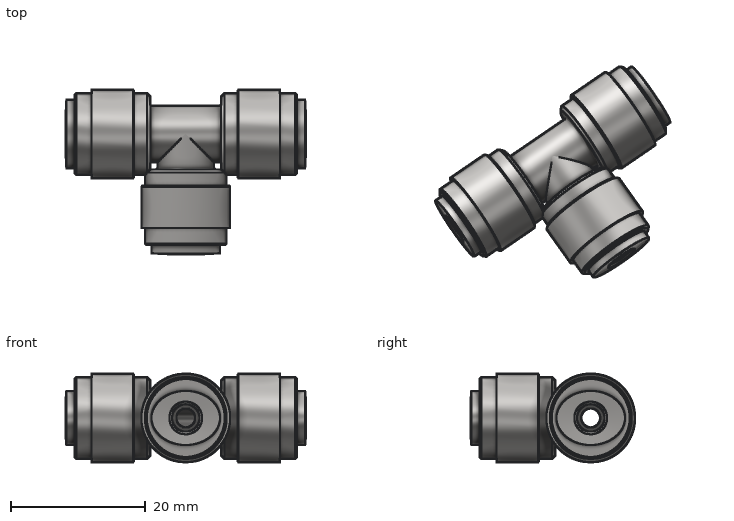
import cadquery as cq

port_reach = 17.9

collar_width = 10.2
collar_height = 8.05
collar_length = 1.35
collar_crown = 0.15

grip_diameter = 13.2
grip_radius = grip_diameter / 2
body_radius = 6.1
grip_start = 3.9
grip_end = 10.2
body_end = 12.65
front_chamfer = 0.3
rear_chamfer = 0.5
grip_chamfer = 0.18

neck_radius = 4.22
neck_fillet = 0.2

flow_radius = 1.4
tube_socket_radius = 2.05
tube_socket_depth = 7.88
mouth_chamfer = 0.4
mouth_radius = tube_socket_radius + mouth_chamfer


def port_body():
    """Neck and stepped body of one port, revolved about the Z axis."""
    collar_seat = port_reach - collar_length
    grip_outer = port_reach - grip_start
    grip_inner = port_reach - grip_end
    rear = port_reach - body_end
    profile = (
        cq.Workplane("XZ")
        .lineTo(neck_radius, 0)
        .lineTo(neck_radius, rear - neck_fillet)
        .radiusArc((neck_radius + neck_fillet, rear), neck_fillet)
        .lineTo(body_radius - rear_chamfer, rear)
        .lineTo(body_radius, rear + rear_chamfer)
        .lineTo(body_radius, grip_inner)
        .lineTo(grip_radius - grip_chamfer, grip_inner)
        .lineTo(grip_radius, grip_inner + grip_chamfer)
        .lineTo(grip_radius, grip_outer)
        .lineTo(body_radius, grip_outer)
        .lineTo(body_radius, collar_seat - front_chamfer)
        .lineTo(body_radius - front_chamfer, collar_seat)
        .lineTo(0, collar_seat)
        .close()
    )
    return profile.revolve(360, (0, 0, 0), (0, 1, 0))


def release_collar():
    """Oval collar with a gently crowned end face, wider along X, ending at the port mouth."""
    side_length = collar_length - collar_crown
    side = (
        cq.Workplane("XY", origin=(0, 0, port_reach - collar_length))
        .ellipse(collar_width / 2, collar_height / 2)
        .extrude(side_length)
    )
    crown = (
        cq.Workplane("XY", origin=(0, 0, port_reach - collar_crown))
        .ellipse(collar_width / 2, collar_height / 2)
        .workplane(offset=collar_crown)
        .circle(mouth_radius)
        .loft(ruled=True)
    )
    return side.union(crown)


def port_bore():
    """Flow passage, tube socket and flared mouth of one port."""
    socket_floor = port_reach - tube_socket_depth
    profile = (
        cq.Workplane("XZ")
        .lineTo(flow_radius, 0)
        .lineTo(flow_radius, socket_floor)
        .lineTo(tube_socket_radius, socket_floor)
        .lineTo(tube_socket_radius, port_reach - mouth_chamfer)
        .lineTo(mouth_radius, port_reach)
        .lineTo(0, port_reach)
        .close()
    )
    return profile.revolve(360, (0, 0, 0), (0, 1, 0))


def at_every_port(shape):
    """Union of the shape pointed along -Y, +X and -X."""
    branch = shape.rotate((0, 0, 0), (1, 0, 0), 90)
    right = branch.rotate((0, 0, 0), (0, 0, 1), 90)
    left = branch.rotate((0, 0, 0), (0, 0, 1), -90)
    return right.union(left).union(branch)


port = port_body().union(release_collar())
result = at_every_port(port).cut(at_every_port(port_bore()))